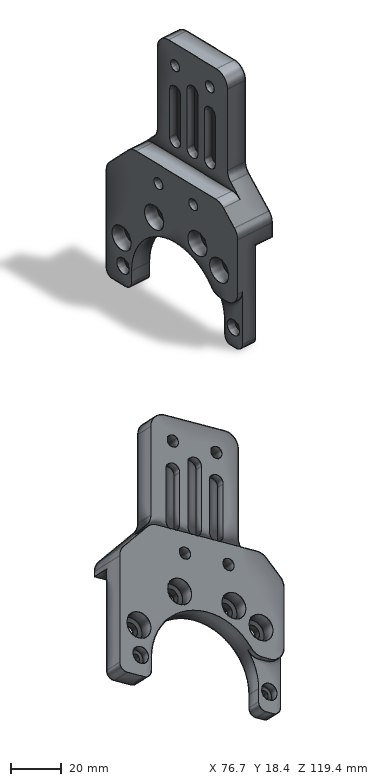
import cadquery as cq
import math

height = 119.4
left_x = -40.6
right_x = 36.1
tab_half_width = 20.4
shoulder_top_z = 72.1
corner_radius = 6.5
foot_radius = 3.5

depth = 18.4
step_depth = 8.8
plate_thickness = depth - step_depth
front_plate_top_z = 66.6
rear_plate_bottom_z = 47.0

bore_radius = 25.8
bore_center_z = 9.1

leg_recess_depth = 2.5
leg_recess_top_z = 21.7
leg_recess_radius = 6.5

slot_width = 6.3
slot_pitch = 10.1
slot_depth = 4.0
slot_bottom_z = 70.8
side_slot_top_z = 99.6
middle_slot_top_z = 104.6

plain_diameter = 5.1
plain_heights = (57.7, 109.1)
bolt_diameter = 6.8
bolt_head_diameter = 11.1
bolt_head_depth = 6.5
bolt_places = ((-12.7, 40.6), (12.7, 40.6), (25.3, 34.3), (-31.6, 21.6))
foot_screw_diameter = 3.8
foot_head_diameter = 7.2
foot_head_depth = 4.0
foot_screw_x = 30.8
foot_screw_z = 9.0


def extrude_back(sketch, front_y, length):
    """Extrude an XZ sketch towards +Y, starting at front_y."""
    return sketch.extrude(-length).translate((0, front_y, 0))


def slab(x_min, x_max, y_min, y_max, z_min, z_max):
    size = (x_max - x_min, y_max - y_min, z_max - z_min)
    return cq.Workplane("XY").box(*size, centered=False).translate((x_min, y_min, z_min))


def round_edges(body, points, radius):
    """Round the edges along Y that pass through the given (x, z) points."""
    edges = [
        body.edges("|Y").edges(cq.selectors.NearestToPointSelector((x, depth / 2, z))).val()
        for x, z in points
    ]
    return body.newObject(edges).fillet(radius)


def bored(body):
    center = cq.Workplane("XZ").center(0, bore_center_z)
    bore = extrude_back(center.circle(bore_radius), 0, depth)
    return body.cut(bore).cut(slab(-bore_radius, bore_radius, 0, depth, 0, bore_center_z))


def make_outline():
    left_shoulder_z = shoulder_top_z - (-left_x - tab_half_width)
    right_shoulder_z = shoulder_top_z - (right_x - tab_half_width)
    upper_corners = [
        (left_x, left_shoulder_z),
        (-tab_half_width, shoulder_top_z),
        (-tab_half_width, height),
        (tab_half_width, height),
        (tab_half_width, shoulder_top_z),
        (right_x, right_shoulder_z),
    ]
    points = [(left_x, 0)] + upper_corners + [(right_x, 0)]
    body = extrude_back(cq.Workplane("XZ").polyline(points).close(), 0, depth)
    body = round_edges(bored(body), upper_corners, corner_radius)
    feet = [(x, 0) for x in (left_x, -bore_radius, bore_radius, right_x)]
    return round_edges(body, feet, foot_radius)


def front_step():
    """Volume cleared in front of the tab, leaving a front plate with rounded top corners."""
    corner_x = tab_half_width + shoulder_top_z - front_plate_top_z
    front_top = [(-corner_x, front_plate_top_z), (corner_x, front_plate_top_z)]
    shoulder_run = corner_radius
    low_z = front_plate_top_z - shoulder_run
    low_x = corner_x + shoulder_run
    kept = cq.Workplane("XZ").polyline([(-low_x, low_z)] + front_top + [(low_x, low_z)]).close()
    kept = round_edges(extrude_back(kept, 0, step_depth), front_top, corner_radius)
    return slab(left_x, right_x, 0, step_depth, low_z, height).cut(kept)


def leg_recess():
    """Volume cleared from the right leg's face, below a face with rounded lower corners."""
    top_z = bore_center_z + bore_radius
    kept = bored(slab(0, right_x, 0, leg_recess_depth, leg_recess_top_z, top_z))
    bore_edge_x = math.sqrt(bore_radius**2 - (leg_recess_top_z - bore_center_z) ** 2)
    corners = [(x, leg_recess_top_z) for x in (bore_edge_x, right_x)]
    kept = round_edges(kept, corners, leg_recess_radius)
    return slab(0, right_x, 0, leg_recess_depth, 0, top_z).cut(kept)


def slot(x, top_z):
    length = top_z - slot_bottom_z
    sketch = cq.Workplane("XZ").center(x, slot_bottom_z + length / 2).slot2D(length, slot_width, 90)
    return extrude_back(sketch, step_depth, slot_depth)


def hole(x, z, diameter):
    return extrude_back(cq.Workplane("XZ").center(x, z).circle(diameter / 2), 0, depth)


def counterbored_hole(x, z, diameter, head_diameter, face_y, head_depth):
    head = cq.Workplane("XZ").center(x, z).circle(head_diameter / 2)
    return hole(x, z, diameter).union(extrude_back(head, face_y, head_depth))


result = make_outline()
result = result.cut(front_step())
result = result.cut(slab(left_x, right_x, plate_thickness, depth, 0, rear_plate_bottom_z))
result = result.cut(leg_recess())

for slot_x, slot_top_z in (
    (-slot_pitch, side_slot_top_z),
    (0, middle_slot_top_z),
    (slot_pitch, side_slot_top_z),
):
    result = result.cut(slot(slot_x, slot_top_z))

for hole_z in plain_heights:
    for hole_x in (-slot_pitch, slot_pitch):
        result = result.cut(hole(hole_x, hole_z, plain_diameter))

for bolt_x, bolt_z in bolt_places:
    result = result.cut(
        counterbored_hole(bolt_x, bolt_z, bolt_diameter, bolt_head_diameter, 0, bolt_head_depth)
    )

for screw_x, face_y in ((-foot_screw_x, 0), (foot_screw_x, leg_recess_depth)):
    result = result.cut(
        counterbored_hole(
            screw_x, foot_screw_z, foot_screw_diameter, foot_head_diameter, face_y, foot_head_depth
        )
    )